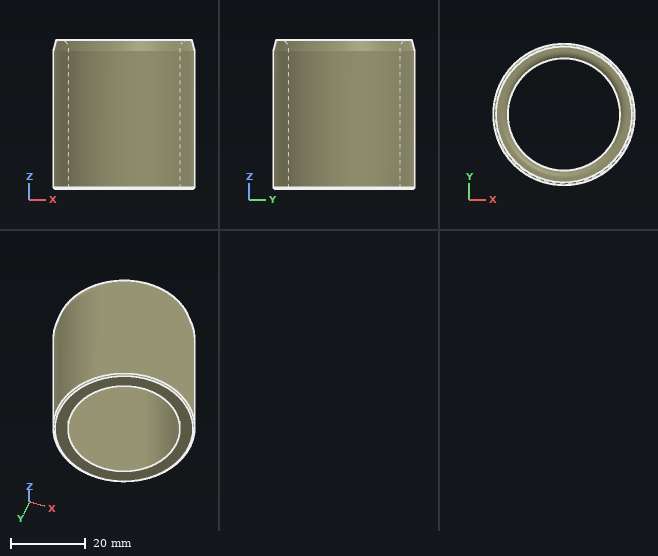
import cadquery as cq
import math

outer_diameter = 38.0
bore_diameter = 30.0
height = 40.0
taper_height = 3.0
taper_angle = 15.0
bore_lip_radius = 2.0
bottom_chamfer = 0.5

outer_radius = outer_diameter / 2
bore_radius = bore_diameter / 2
taper_width = taper_height * math.tan(math.radians(taper_angle))


def make_bushing():
    """Revolve the wall section: tapered top, rounded bore lip and chamfered bottom edge."""
    wall_section = (
        cq.Workplane("XZ")
        .moveTo(bore_radius, 0)
        .lineTo(outer_radius - bottom_chamfer, 0)
        .lineTo(outer_radius, bottom_chamfer)
        .lineTo(outer_radius, height - taper_height)
        .lineTo(outer_radius - taper_width, height)
        .lineTo(bore_radius + bore_lip_radius, height)
        .radiusArc((bore_radius, height - bore_lip_radius), -bore_lip_radius)
        .close()
    )
    return wall_section.revolve(360, (0, 0, 0), (0, 1, 0))


result = make_bushing()